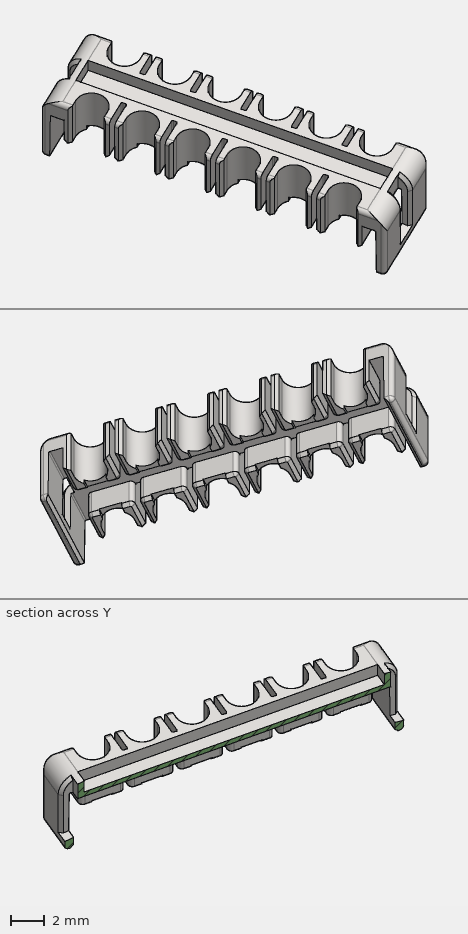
import cadquery as cq

length = 22.5
width = 5.95
height = 5.2
half_length = length / 2
half_width = width / 2

plate_thickness = 1.3
corner_radius = 1.3
leg_thickness_top = 0.63
leg_thickness_tip = 0.58
inner_corner_radius = 0.1
edge_radius = 0.3
tip_chamfer = 0.2

clip_count = 6
end_margin = 1.53
clip_width = 2.95
clip_pitch = (length - 2 * end_margin - clip_width) / (clip_count - 1)
clip_height = 3.26
clip_chamfer = 0.22
clip_back_y = 0.97
clip_back_radius = 0.3
bore_radius = 1.04
bore_reach = 1.7
mouth_chamfer = 0.2
bore_center_y = half_width - bore_reach + bore_radius
notch_width = 1.4
notch_height = 0.3

slot_width = clip_pitch - clip_width
slot_reach = bore_reach
slot_corner_radius = 0.1

pocket_length = length - 2 * corner_radius
pocket_width = 1.7
pocket_depth = 0.9

window_width = 1.25
window_chamfer = 0.22
window_reach = 0.85
window_sill_outer = 0.75
window_sill_inner = 0.85

clip_places = [(i - (clip_count - 1) / 2) * clip_pitch for i in range(clip_count)]
slot_places = [(i - (clip_count - 2) / 2) * clip_pitch for i in range(clip_count - 1)]


def on_both_sides(solid, plane):
    """Return the solid together with its mirror image."""
    return solid.union(solid.mirror(plane))


def make_window():
    """Window through the left leg and the rounded corner above it."""
    inner_x = -half_length + window_reach
    return (
        cq.Workplane("XZ")
        .moveTo(-half_length, -height + window_sill_outer)
        .lineTo(inner_x, -height + window_sill_inner)
        .lineTo(inner_x, 0)
        .lineTo(-half_length, 0)
        .close()
        .extrude(window_width / 2, both=True)
    )


def bevel_window(body):
    """Chamfer the two side edges of the left window along the leg face and the rounded corner."""
    outer_zone = cq.selectors.BoxSelector(
        (-half_length - window_chamfer, -window_width, -3 * height / 4),
        (-half_length + leg_thickness_top, window_width, 0),
    )
    return body.edges(outer_zone).edges("not |Y").chamfer(window_chamfer)


def make_bridge():
    """Plate with a leg at each end, rounded along its outer edges."""
    outer = cq.Workplane("XY").box(length, width, height, centered=(True, True, False))
    outer = outer.translate((0, 0, -height))
    outer = outer.faces("<Y or >Y or <Z").edges().fillet(edge_radius)
    rounding = cq.Workplane("XY").box(length, width, 2 * height)
    outer = outer.intersect(rounding.edges("|Y and >Z").fillet(corner_radius).translate((0, 0, -height)))
    outer = bevel_window(outer.cut(make_window()))
    outer = outer.intersect(outer.mirror("YZ"))
    tip_half = half_length - leg_thickness_tip
    top_half = half_length - leg_thickness_top
    opening = (
        cq.Workplane("XZ")
        .moveTo(-tip_half - tip_chamfer, -height)
        .lineTo(-tip_half, -height + tip_chamfer)
        .lineTo(-top_half, -plate_thickness)
        .lineTo(top_half, -plate_thickness)
        .lineTo(tip_half, -height + tip_chamfer)
        .lineTo(tip_half + tip_chamfer, -height)
        .close()
        .extrude(half_width, both=True)
    )
    opening = opening.edges("|Y and >Z").fillet(inner_corner_radius)
    return outer.cut(opening)


def make_clip():
    """Clip body below the plate, with rounded back corners, a bevelled foot and a notch across it."""
    body_depth = half_width - clip_back_y
    body_height = clip_height - plate_thickness
    body = cq.Workplane("XY").box(clip_width, body_depth, body_height)
    body = body.translate((0, clip_back_y + body_depth / 2, -plate_thickness - body_height / 2))
    body = body.edges("|Z and <Y").fillet(clip_back_radius)
    body = body.faces("<Z").edges("not >Y").chamfer(clip_chamfer)
    notch = cq.Workplane("XY").box(notch_width, width, 2 * notch_height)
    return body.cut(notch.translate((0, half_width, -clip_height)))


def make_bore():
    """Upright U-shaped recess with a flared mouth, running through the full height."""
    flare_y = half_width - mouth_chamfer
    flare_half = bore_radius + mouth_chamfer
    return (
        cq.Workplane("XY")
        .moveTo(-flare_half, half_width)
        .lineTo(-bore_radius, flare_y)
        .lineTo(-bore_radius, bore_center_y)
        .threePointArc((0, bore_center_y - bore_radius), (bore_radius, bore_center_y))
        .lineTo(bore_radius, flare_y)
        .lineTo(flare_half, half_width)
        .close()
        .extrude(-height)
    )


def make_slot():
    """Narrow slot through the plate, open at the side, with rounded inner corners."""
    slot = cq.Workplane("XY").box(slot_width, 2 * slot_reach, 2 * plate_thickness)
    return slot.edges("|Z").fillet(slot_corner_radius).translate((0, half_width, 0))


def make_pocket():
    """Long trough in the top face."""
    return cq.Workplane("XY").box(pocket_length, pocket_width, 2 * pocket_depth)


clip = make_clip()
bore = make_bore()
slot = make_slot()

result = make_bridge()
for x in clip_places:
    result = result.union(on_both_sides(clip.translate((x, 0, 0)), "XZ"))
for x in clip_places:
    result = result.cut(on_both_sides(bore.translate((x, 0, 0)), "XZ"))
for x in slot_places:
    result = result.cut(on_both_sides(slot.translate((x, 0, 0)), "XZ"))
result = result.cut(make_pocket())